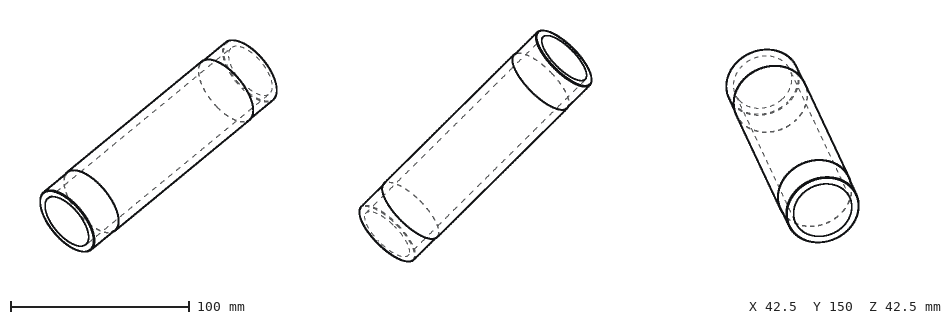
import cadquery as cq

length = 150.0
body_diameter = 42.5
end_diameter = 41.8
bore_diameter = 33.5
end_length = 20.0
end_chamfer = 0.5

body_length = length - 2 * end_length


def cylinder_along_y(diameter, height):
    """Solid cylinder on the Y axis, centred on the origin."""
    start = cq.Workplane("XZ", origin=(0, height / 2, 0))
    return start.circle(diameter / 2).extrude(height)


ends = cylinder_along_y(end_diameter, length).faces("<Y or >Y").edges().chamfer(end_chamfer)

body = cylinder_along_y(body_diameter, body_length)

bore = cylinder_along_y(bore_diameter, length)

result = ends.union(body).cut(bore)